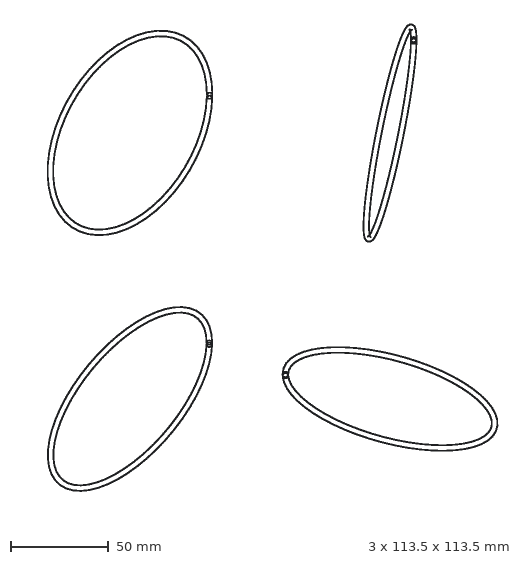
import cadquery as cq
import math

outer_diameter = 113.5
wire_diameter = 3.0
gap_width = 1.7

centreline_radius = (outer_diameter - wire_diameter) / 2
gap_angle = math.degrees(2 * math.asin(gap_width / 2 / centreline_radius))

wire_section = cq.Workplane("XY").center(0, centreline_radius).circle(wire_diameter / 2)
axis_start = (0, -centreline_radius)
axis_end = (1, -centreline_radius)
result = wire_section.revolve(360 - gap_angle, axis_start, axis_end)